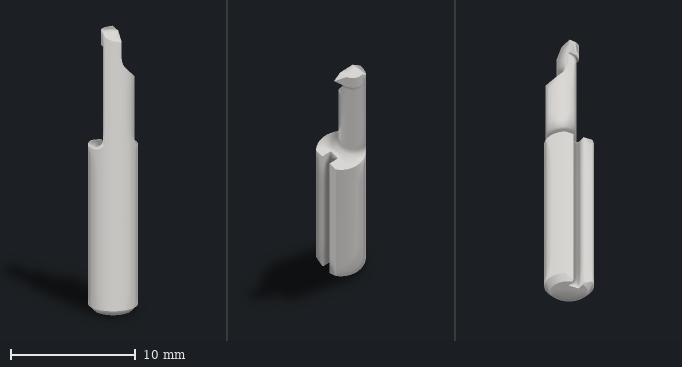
import cadquery as cq
import math

total_length = 24
shank_radius = 2.005
shank_length = 14.02
overall_width = 3.55
flat_x = shank_radius - overall_width
end_chamfer = 0.5

groove_width = 0.94
groove_corner_radius = 0.12
groove_floor_x = -0.75
groove_top_x = -0.67
groove_slope_start = 10.5

neck_radius = 1.3
neck_x = 1.4
root_fillet = 0.77

rake_arc_radius = 1.32
rake_arc_start = 21.9
runout_angle = math.radians(45)

head_height = 1.22
tip_x = -0.72
nose_root = (0.07, -0.77)
heel_x = 0.9
heel_radius = 0.94
bevel_relief = 0.15

back_bevel_x = 1.2
back_bevel_drop = 0.72


def make_shank():
    """Round shank with a chamfered end and a clamping flat."""
    shank = cq.Workplane("XY").circle(shank_radius).extrude(shank_length)
    shank = shank.faces("<Z").chamfer(end_chamfer)
    beyond_flat = (
        cq.Workplane("XY")
        .box(shank_radius, 2 * shank_radius, shank_length, centered=(False, True, False))
        .translate((flat_x - shank_radius, 0, 0))
    )
    return shank.cut(beyond_flat)


def make_groove():
    """Open slot along the whole flat, rounded along both sides of its floor."""
    return (
        cq.Workplane("XZ")
        .moveTo(-shank_radius, 0)
        .lineTo(groove_floor_x, 0)
        .lineTo(groove_floor_x, groove_slope_start)
        .lineTo(groove_top_x, shank_length)
        .lineTo(-shank_radius, shank_length)
        .close()
        .extrude(groove_width / 2, both=True)
        .edges("(not |X) and (not |Y) and (not <X)")
        .fillet(groove_corner_radius)
    )


def make_neck():
    """Eccentric neck with a concave root."""
    root_radius = neck_radius + root_fillet
    arc_offset = root_fillet * (1 - math.sqrt(0.5))
    return (
        cq.Workplane("XZ")
        .moveTo(0, shank_length)
        .lineTo(root_radius, shank_length)
        .threePointArc(
            (neck_radius + arc_offset, shank_length + arc_offset),
            (neck_radius, shank_length + root_fillet),
        )
        .lineTo(neck_radius, total_length)
        .lineTo(0, total_length)
        .close()
        .revolve(360, (0, 0, 0), (0, 1, 0))
        .translate((neck_x, 0, 0))
    )


def make_head():
    """Pointed head whose bevels recede behind the rake face."""
    heel_y = -neck_radius
    heel_mid = (
        heel_x - heel_radius * math.sqrt(0.5),
        heel_y + heel_radius * (1 - math.sqrt(0.5)),
    )
    plan = (
        cq.Workplane("XY", origin=(0, 0, total_length - head_height))
        .moveTo(tip_x, 0)
        .lineTo(*nose_root)
        .threePointArc(heel_mid, (heel_x, heel_y))
        .lineTo(shank_radius, heel_y)
        .lineTo(shank_radius, 0)
        .close()
        .extrude(head_height)
    )
    bevel_height = head_height / 2
    head_bottom = total_length - head_height
    depth = 2 * neck_radius
    shift = bevel_relief * depth
    nose_profile = [
        (tip_x, total_length - bevel_height),
        (tip_x + bevel_height, total_length),
        (shank_radius, total_length),
        (shank_radius, head_bottom),
        (tip_x + bevel_height, head_bottom),
    ]
    relieved_profile = [(x + shift, z) for x, z in nose_profile]
    bevels = (
        cq.Workplane("XZ")
        .polyline(nose_profile)
        .close()
        .workplane(offset=depth)
        .polyline(relieved_profile)
        .close()
        .loft(ruled=True)
    )
    return plan.intersect(bevels)


def make_rake_cut():
    """Material removed above the rake face and its run-out."""
    clear_y = 2 * shank_radius

    def arc_point(angle):
        y = rake_arc_radius * (1 - math.cos(angle))
        z = rake_arc_start - rake_arc_radius * math.sin(angle)
        return y, z

    arc_end_y, arc_end_z = arc_point(runout_angle)
    runout_z = arc_end_z - (clear_y - arc_end_y) / math.tan(runout_angle)
    return (
        cq.Workplane("YZ")
        .moveTo(0, total_length)
        .lineTo(0, rake_arc_start)
        .threePointArc(arc_point(runout_angle / 2), (arc_end_y, arc_end_z))
        .lineTo(clear_y, runout_z)
        .lineTo(clear_y, total_length)
        .close()
        .extrude(shank_radius, both=True)
    )


def make_back_bevel():
    """Wedge removed from the top at the +X side."""
    return (
        cq.Workplane("XZ")
        .moveTo(back_bevel_x, total_length)
        .lineTo(shank_radius, total_length)
        .lineTo(shank_radius, total_length - back_bevel_drop)
        .close()
        .extrude(shank_radius, both=True)
    )


shank = make_shank().cut(make_groove())
envelope = cq.Workplane("XY").circle(shank_radius).extrude(total_length)
tool = make_neck().union(make_head()).intersect(envelope)
tool = tool.cut(make_rake_cut()).cut(make_back_bevel())
result = shank.union(tool)